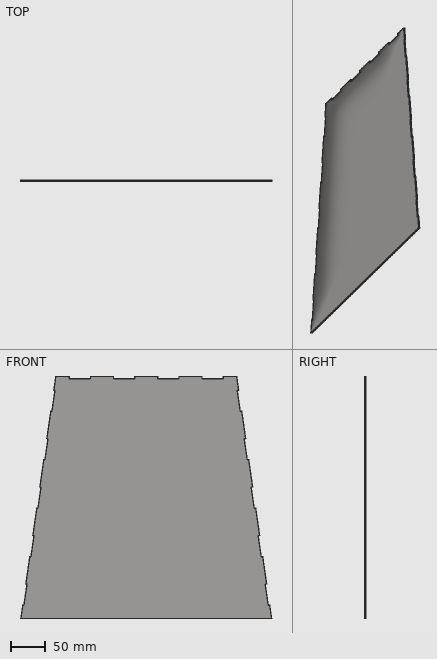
import cadquery as cq
import math

bottom_width = 359.0
top_width = 259.0
slanted_edge_length = 350.0
thickness = 2.0

joint_clearance = 0.1
nominal_notch_length = 30.0
nominal_end_margin = 20.0
notch_length = nominal_notch_length + 2 * joint_clearance

side_notch_count = 5
left_notch_depth = 1.5 + joint_clearance
right_notch_depth = 2.0 + joint_clearance

top_notch_count = 4
top_notch_depth = 3.0 + joint_clearance
top_joint_length = 260.0

side_run = (bottom_width - top_width) / 2
height = math.sqrt(slanted_edge_length**2 - side_run**2)
side_lean = math.degrees(math.asin(side_run / slanted_edge_length))


def notch_centers(joint_length, count):
    """Notch centres measured from the middle of an edge."""
    center_span = joint_length - 2 * nominal_end_margin - nominal_notch_length
    pitch = center_span / (count - 1)
    return [-center_span / 2 + i * pitch for i in range(count)]


def edge_notches(joint_length, count, depth):
    """Cutters for an edge lying along X at Z = 0, with the panel below it."""
    points = [(center, 0) for center in notch_centers(joint_length, count)]
    return (
        cq.Workplane("XZ")
        .pushPoints(points)
        .rect(notch_length, 2 * depth)
        .extrude(thickness / 2, both=True)
    )


def panel_blank():
    outline = [
        (-bottom_width / 2, 0),
        (bottom_width / 2, 0),
        (top_width / 2, height),
        (-top_width / 2, height),
    ]
    return cq.Workplane("XZ").polyline(outline).close().extrude(thickness / 2, both=True)


def top_notches():
    cutters = edge_notches(top_joint_length, top_notch_count, top_notch_depth)
    return cutters.translate((0, 0, height))


def side_notches(side, depth):
    """Cutters for one slanted edge; side is 1 for +X and -1 for -X."""
    cutters = edge_notches(slanted_edge_length, side_notch_count, depth)
    cutters = cutters.rotate((0, 0, 0), (0, 1, 0), side * (90 - side_lean))
    edge_middle_x = side * (bottom_width + top_width) / 4
    return cutters.translate((edge_middle_x, 0, height / 2))


result = (
    panel_blank()
    .cut(top_notches())
    .cut(side_notches(-1, left_notch_depth))
    .cut(side_notches(1, right_notch_depth))
)